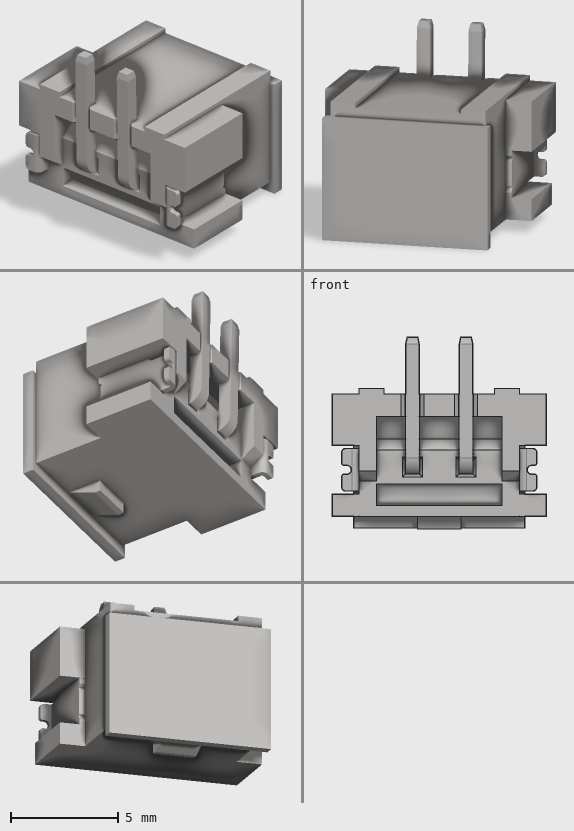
import cadquery as cq
import math

overall_width = 10.0
body_width = 7.5
body_length = 7.82
body_height = 5.98
deck_height = 5.72
rail_width = 1.18
lower_front_y = 0.69
step_top_z = 2.12
step_bottom_z = 1.65

flange_width = 8.0
flange_thickness = 0.55
flange_bottom_z = -0.55
flange_top_z = 5.31

ear_length = 4.24
upper_ear_bottom_z = 3.32
lower_ear_top_z = 1.04

latch_width = 2.04
latch_drop = 0.59
latch_front_y = 6.0
latch_flat_end_y = 6.3
latch_rear_y = 7.7

recess_width = 5.88
recess_top_z = 4.66
ledge_low_z = 3.1
ledge_high_z = 3.62
recess_depth = 1.4

pocket_bottom_z = 0.52
pocket_height = 1.0
pocket_depth = 0.75

pin_pitch = 2.5
pin_size = 0.64
pin_tilt = 1.0
pin_front_y = -0.05
pin_top_z = 8.37
pin_bottom_z = 1.99
pin_inner_radius = 0.12
pin_embed_y = 2.0
pin_tip_length = 0.32
pin_tip_inset = 0.07
pin_centres = [-pin_pitch / 2, pin_pitch / 2]

slot_width = 0.72
slot_mouth_width = 1.06
slot_mouth_depth = 0.2
socket_size = 0.94
socket_depth = 0.15
socket_centre_z = 2.305

clip_thickness = 0.26
clip_front_y = -0.05
clip_rear_y = 4.2
clip_bend_radius = 0.33
clip_tongue_height = 1.24
clip_tongue_root_y = 4.08
clip_tongue_end_y = 4.16
clip_relief_height = 0.26
clip_relief_y = 4.03
clip_relief_arc_height = 0.12
clip_tab_reach = 4.56
clip_tab_height = 1.99
clip_shoulder_y = 1.29
clip_corner_radius = 0.19
clip_notch_radius = 0.2
clip_notch_end_x = 4.11
clip_notch_corner = 0.13
selection_margin = 0.01


def block(x_min, x_max, y_min, y_max, z_min, z_max):
    size = (x_max - x_min, y_max - y_min, z_max - z_min)
    return cq.Workplane("XY").box(*size, centered=False).translate((x_min, y_min, z_min))


def centred_block(width, y_min, y_max, z_min, z_max):
    return block(-width / 2, width / 2, y_min, y_max, z_min, z_max)


def side_profile(points, width):
    """Closed Y-Z outline extruded symmetrically about X = 0."""
    return cq.Workplane("YZ").polyline(points).close().extrude(width / 2, both=True)


def make_housing():
    body = side_profile(
        [
            (0, step_top_z),
            (0, body_height),
            (body_length, body_height),
            (body_length, 0),
            (lower_front_y, 0),
            (lower_front_y, step_bottom_z),
        ],
        body_width,
    )
    channel_width = body_width - 2 * rail_width
    body = body.cut(centred_block(channel_width, 0, body_length, deck_height, body_height))
    flange_rear_y = body_length + flange_thickness
    body = body.union(
        centred_block(flange_width, body_length, flange_rear_y, flange_bottom_z, flange_top_z)
    )
    for inner_x, outer_x in [
        (-overall_width / 2, -body_width / 2),
        (body_width / 2, overall_width / 2),
    ]:
        body = body.union(block(inner_x, outer_x, 0, ear_length, upper_ear_bottom_z, deck_height))
        body = body.union(block(inner_x, outer_x, lower_front_y, ear_length, 0, lower_ear_top_z))
    latch = side_profile(
        [
            (latch_front_y, 0),
            (latch_front_y, -latch_drop),
            (latch_flat_end_y, -latch_drop),
            (latch_rear_y, 0),
        ],
        latch_width,
    )
    return body.union(latch)


def make_recess():
    return side_profile(
        [
            (0, 0),
            (0, recess_top_z),
            (recess_depth, recess_top_z),
            (recess_depth, ledge_high_z),
            (lower_front_y, ledge_low_z),
            (lower_front_y, 0),
        ],
        recess_width,
    )


def make_marking_pocket():
    return centred_block(
        recess_width,
        lower_front_y,
        lower_front_y + pocket_depth,
        pocket_bottom_z,
        pocket_bottom_z + pocket_height,
    )


def make_deck_slot(x):
    half_slot = slot_width / 2
    half_mouth = slot_mouth_width / 2
    return (
        cq.Workplane("XY", origin=(x, 0, recess_top_z))
        .polyline(
            [
                (-half_mouth, 0),
                (-half_slot, slot_mouth_depth),
                (-half_slot, lower_front_y),
                (half_slot, lower_front_y),
                (half_slot, slot_mouth_depth),
                (half_mouth, 0),
            ]
        )
        .close()
        .extrude(deck_height - recess_top_z)
    )


def make_socket(x):
    return (
        cq.Workplane("XZ", origin=(x, lower_front_y, socket_centre_z))
        .rect(socket_size, socket_size)
        .workplane(offset=-socket_depth)
        .rect(pin_size, pin_size)
        .loft(combine=True)
    )


def make_pin(x):
    half_pin = pin_size / 2
    half_tip = half_pin - pin_tip_inset
    lean = math.tan(math.radians(pin_tilt))
    tip_base_z = pin_top_z - pin_tip_length
    pin_height = tip_base_z - pin_bottom_z
    front_base_y = pin_front_y + pin_height * lean
    rear_base_y = front_base_y + pin_size
    rear_top_y = pin_front_y + pin_size
    pin = (
        cq.Workplane("YZ", origin=(x, 0, 0))
        .polyline(
            [
                (front_base_y, pin_bottom_z),
                (pin_front_y, tip_base_z),
                (pin_front_y + pin_tip_inset, pin_top_z),
                (rear_top_y - pin_tip_inset, pin_top_z),
                (rear_top_y, tip_base_z),
                (rear_base_y, pin_bottom_z + pin_size),
                (pin_embed_y, pin_bottom_z + pin_size),
                (pin_embed_y, pin_bottom_z),
            ]
        )
        .close()
        .extrude(half_pin, both=True)
    )
    outer_bend = cq.selectors.NearestToPointSelector((x, front_base_y, pin_bottom_z))
    inner_bend = cq.selectors.NearestToPointSelector((x, rear_base_y, pin_bottom_z + pin_size))
    pin = pin.edges(outer_bend).fillet(pin_inner_radius + pin_size)
    pin = pin.edges(inner_bend).fillet(pin_inner_radius)
    front_outline = (
        cq.Workplane("XZ", origin=(x, pin_embed_y, 0))
        .polyline(
            [
                (-half_pin, pin_bottom_z),
                (-half_pin, tip_base_z),
                (-half_tip, pin_top_z),
                (half_tip, pin_top_z),
                (half_pin, tip_base_z),
                (half_pin, pin_bottom_z),
            ]
        )
        .close()
        .extrude(pin_embed_y - pin_front_y)
    )
    return pin.intersect(front_outline)


def select_tab_end(mid_z, half_height):
    """Selector for edges on the outer end of the tab, within a height about mid_z."""
    reach = half_height + selection_margin
    return cq.selectors.BoxSelector(
        (clip_tab_reach - selection_margin, clip_front_y - selection_margin, mid_z - reach),
        (
            clip_tab_reach + selection_margin,
            clip_front_y + clip_thickness + selection_margin,
            mid_z + reach,
        ),
    )


def make_clip():
    """Clip on the +X side: a strip along the housing with a tab bent outwards."""
    inner_x = body_width / 2
    outer_x = inner_x + clip_thickness
    tab_rear_y = clip_front_y + clip_thickness
    mid_z = (upper_ear_bottom_z + lower_ear_top_z) / 2
    half_strip = (upper_ear_bottom_z - lower_ear_top_z) / 2
    half_tab = clip_tab_height / 2
    shoulder = half_strip - half_tab
    bend_x = inner_x + clip_bend_radius
    bend_y = clip_front_y + clip_bend_radius
    inner_radius = clip_bend_radius - clip_thickness
    diagonal = math.sqrt(0.5)
    clip = (
        cq.Workplane("XY", origin=(0, 0, mid_z))
        .moveTo(inner_x, clip_rear_y)
        .lineTo(inner_x, bend_y)
        .threePointArc(
            (bend_x - clip_bend_radius * diagonal, bend_y - clip_bend_radius * diagonal),
            (bend_x, clip_front_y),
        )
        .lineTo(clip_tab_reach, clip_front_y)
        .lineTo(clip_tab_reach, tab_rear_y)
        .lineTo(bend_x, tab_rear_y)
        .threePointArc(
            (bend_x - inner_radius * diagonal, bend_y - inner_radius * diagonal),
            (outer_x, bend_y),
        )
        .lineTo(outer_x, clip_rear_y)
        .close()
        .extrude(half_strip, both=True)
    )
    half_tongue = clip_tongue_height / 2
    relief_top = half_tongue + clip_relief_height
    relief_arc_top = half_tongue + clip_relief_arc_height
    relief_arc_mid = half_tongue + clip_relief_arc_height / 2
    outline = (
        cq.Workplane("YZ", origin=(0, 0, mid_z))
        .moveTo(clip_front_y, -half_tab)
        .lineTo(clip_front_y, half_tab)
        .lineTo(clip_shoulder_y, half_tab)
        .lineTo(clip_shoulder_y + shoulder, half_strip)
        .lineTo(clip_rear_y, half_strip)
        .lineTo(clip_rear_y, relief_top)
        .lineTo(clip_tongue_root_y, relief_arc_top)
        .threePointArc((clip_relief_y, relief_arc_mid), (clip_tongue_root_y, half_tongue))
        .lineTo(clip_tongue_root_y, -half_tongue)
        .threePointArc((clip_relief_y, -relief_arc_mid), (clip_tongue_root_y, -relief_arc_top))
        .lineTo(clip_rear_y, -relief_top)
        .lineTo(clip_rear_y, -half_strip)
        .lineTo(clip_shoulder_y + shoulder, -half_strip)
        .lineTo(clip_shoulder_y, -half_tab)
        .close()
        .extrude(overall_width)
    )
    tongue = (
        cq.Workplane("XY", origin=(0, 0, mid_z))
        .polyline(
            [
                (inner_x, clip_tongue_root_y),
                (outer_x, clip_tongue_root_y),
                (inner_x, clip_tongue_end_y),
            ]
        )
        .close()
        .extrude(half_tongue, both=True)
    )
    clip = clip.intersect(outline).union(tongue)
    tab_corners = select_tab_end(mid_z, half_tab)
    clip = clip.edges("|Y").edges(tab_corners).fillet(clip_corner_radius)
    notch_length = 2 * (clip_tab_reach - clip_notch_end_x)
    notch = (
        cq.Workplane("XZ", origin=(clip_tab_reach, tab_rear_y, mid_z))
        .slot2D(notch_length, 2 * clip_notch_radius)
        .extrude(clip_thickness)
    )
    clip = clip.cut(notch)
    notch_mouth = select_tab_end(mid_z, clip_notch_radius)
    return clip.edges("|Y").edges(notch_mouth).fillet(clip_notch_corner)


result = make_housing().cut(make_recess()).cut(make_marking_pocket())
for pin_x in pin_centres:
    result = result.cut(make_deck_slot(pin_x)).cut(make_socket(pin_x))
for pin_x in pin_centres:
    result = result.union(make_pin(pin_x))

right_clip = make_clip()
result = result.union(right_clip).union(right_clip.mirror("YZ"))